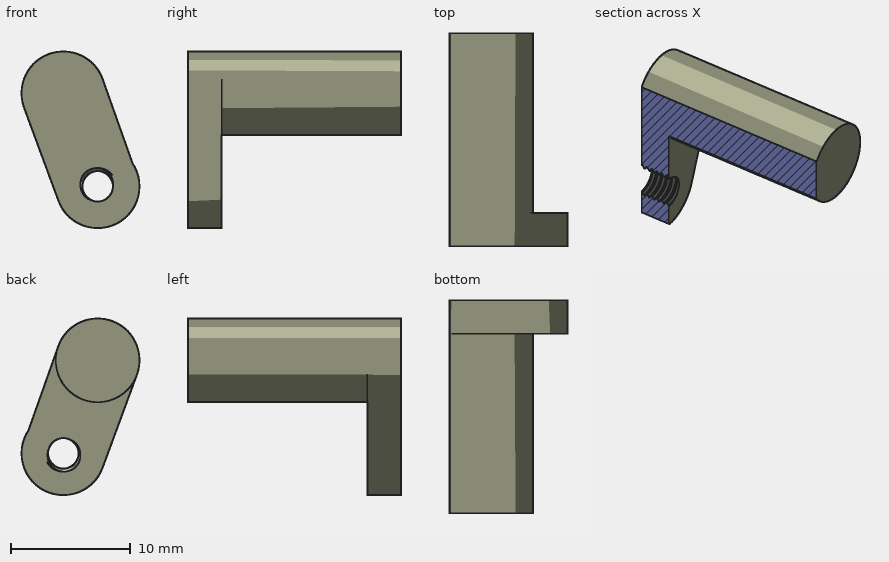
import cadquery as cq
import math

pin_length = 17.8
round_diameter = 7.0
eye_offset_x = 2.87
eye_drop = 7.76
arm_thickness = 2.81
edge_inset = 0.1

thread_minor = 2.53
thread_major = 3.08
thread_pitch = 0.5
root_width = thread_pitch / 8
mouth_width = thread_pitch * 3 / 4
root_angle = 120.0

round_radius = round_diameter / 2
center_distance = math.hypot(eye_offset_x, eye_drop)
arm_tilt = math.degrees(math.atan2(eye_offset_x, eye_drop))


def cylinder(diameter, depth, x=0, z=0):
    """Cylinder running from the front face along +Y."""
    return cq.Workplane("XZ").center(x, z).circle(diameter / 2).extrude(-depth)


def make_web():
    """Straight part of the arm: left edge tangent to both rounds, right edge tapering in at the eye."""
    web = cq.Workplane("XZ").polyline([
        (-round_radius, 0),
        (round_radius, 0),
        (round_radius - edge_inset, -center_distance),
        (-round_radius, -center_distance),
    ]).close().extrude(-arm_thickness)
    return web.rotate((0, 0, 0), (0, 1, 0), -arm_tilt)


def make_thread_groove():
    """Right-handed V groove, made along +Z and overrunning both arm faces."""
    overrun = thread_pitch
    overlap = 0.04
    minor_radius = thread_minor / 2
    major_radius = thread_major / 2
    flank_slope = (mouth_width - root_width) / 2 / (major_radius - minor_radius)
    inner_half = mouth_width / 2 + overlap * flank_slope
    inner_radius = minor_radius - overlap
    helix = cq.Wire.makeHelix(thread_pitch, arm_thickness + 2 * overrun, inner_radius)
    profile = cq.Workplane("XZ").polyline([
        (inner_radius, -inner_half),
        (major_radius, -root_width / 2),
        (major_radius, root_width / 2),
        (inner_radius, inner_half),
    ]).close()
    groove = profile.sweep(cq.Workplane(helix), isFrenet=True)
    return groove.translate((0, 0, -overrun))


def place_thread_groove():
    """Thread groove cutter, placed on the eye axis."""
    groove = make_thread_groove().rotate((0, 0, 0), (1, 0, 0), -90)
    groove = groove.rotate((0, 0, 0), (0, 1, 0), -root_angle)
    return groove.translate((eye_offset_x, 0, -eye_drop))


pin = cylinder(round_diameter, pin_length)
eye = cylinder(round_diameter, arm_thickness, eye_offset_x, -eye_drop)
core_hole = cylinder(thread_minor, arm_thickness, eye_offset_x, -eye_drop)

result = pin.union(eye).union(make_web())
result = result.cut(core_hole).cut(place_thread_groove())